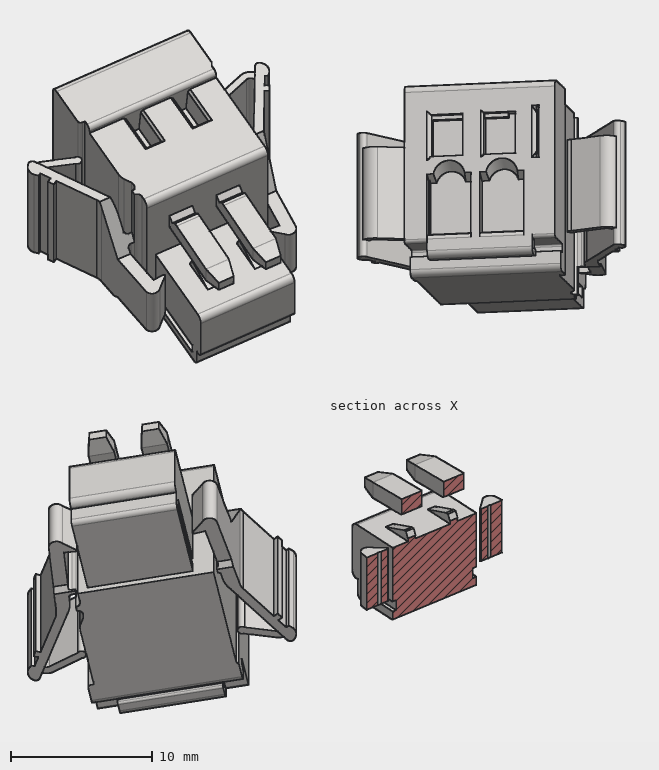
import cadquery as cq
import math

PITCH = 3.81
OVERALL_LENGTH = 18.6
OVERALL_HEIGHT = 13.4
EDGE_RADIUS = 0.5
SMALL_RADIUS = 0.15

HEAD_HALF_WIDTH = 5.44
HEAD_END = 3.83
HEAD_EASE = 0.25
HEAD_TOP_END = 4.5
HEAD_TOP_RADIUS = 0.38
HEAD_BOTTOM_RADIUS = 0.25
BODY_END = 12.0
BODY_TOP = 12.77
BODY_BACK_Y = 5.29
BODY_FRONT_Y = -4.98
WAIST_START = 8.71
WAIST_Y = -4.5

CHANNEL_ROOF = 2.0
CHANNEL_FLOOR = 1.39
CHANNEL_END = 2.6
FOOT_START = 1.98
LIP_THICKNESS = 0.74
LIP_HOOK_END = 1.21
LIP_BOTTOM = 0.9

NOSE_HALF_WIDTH = 3.8
NOSE_TOP = 6.475
NOSE_BOTTOM = 0.5
NOSE_LOWER_END = 17.97
NOSE_CORNER = 0.35
GROOVE_BOTTOM = 1.21
GROOVE_END = 17.3
GROOVE_DEPTH = 0.3
OVERLAP = 1.0

PIN_Y = 2.06
ENTRY_Y = 2.21
WINDOW_Y = 2.38
PIN_WIDTH = 1.86
PIN_TIP_WIDTH = 1.21
PIN_TAPER_START = 17.29
PIN_NOTCH_X = 12.42
PIN_NOTCH_Z = 9.86
PIN_CREST_START = 12.8
PIN_CREST_END = 13.03
PIN_CREST_Z = 10.24
PIN_ROOT_BOTTOM = 8.96
PIN_TAPER_TOP = 10.05
PIN_TAPER_BOTTOM = 8.75
PIN_TIP_TOP = 9.70
PIN_TIP_BOTTOM = 8.90
TOOTH_WIDTH = 0.7
TOOTH_START = 13.9
TOOTH_CREST_START = 14.24
TOOTH_CREST_END = 14.46
TOOTH_END = 16.55
TOOTH_TOP = 7.19

POCKET_DEPTH = 0.8
ENTRY_WIDTH = 3.18
ENTRY_BOTTOM = 2.24
ENTRY_TOP = 6.91
SILL_RADIUS = 0.32
SILL_RISE = 0.14
JAMB_STEPS = (0.09, 0)
JAMB_STEP_DEPTH = 0.53
ENTRY_DROP = 0.5
ARCH_RADIUS = 1.15
ARCH_CENTRE_Z = 6.69
ARCH_END_RADIUS = 1.1
ARCH_END_CENTRE_Z = 6.09
WINDOW_WIDTH = 2.3
WINDOW_BOTTOM = 8.17
WINDOW_TOP = 11.19
WINDOW_BEVELS = (0.27, 0.18)
LEDGE_HEIGHT = 0.3
LEDGE_WIDTHS = (WINDOW_WIDTH, 1.7)
SLOT_BACK_Y = -3.78
SLOT_WIDTH = 0.5
SLOT_BEVEL = 0.3
SLOT_BOTTOM = 7.8
SLOT_TOP = 11.57
SLOT_HIP = 0.5

TOP_POCKET_END = 7.69
TOP_POCKET_WIDTH = 1.57
TOP_POCKET_DEPTH = 2.0
TOP_POCKET_BEVEL = 0.19
TOP_POCKET_DRAFT = 0.14

CLIP_BOTTOM = 2.0
CLIP_TOP = 10.95
CLIP_TAIL_BOTTOM = 2.3
CLIP_TAIL_TOP = 6.66
CLIP_SLOPE_START = 8.99
CLIP_STEP_START = 10.76
CLIP_TAIL_START = 11.2
CLIP_BACK_DROP = 0.1
BEND = (8.93, 6.65)
LEVER_ANGLE = 30
LEVER_THICKNESS = 0.70
RIB_START = 3.54
RIB_END = 4.02
RIB_HEIGHT = 0.36
GRIP_START = 4.86
GRIP_END = 6.06
GRIP_STEP = 0.24
GRIP_HEIGHT = 0.33
TAIL_ANGLE = 5.7
TAIL_THICKNESS = 1.03
HOOK_START = 5.24
HOOK_END = 6.28
HOOK_REACH = 1.97
NECK_START = 10.49
NECK_END = 10.86
NECK_RADIUS = 0.38
NECK_FLARE_Y = 5.55
NECK_STUB_Y = WAIST_Y - NECK_RADIUS
SPRING_BALL = (4.18, 5.79)
SPRING_BALL_RADIUS = 0.32
SPRING_LEAN = 20
SPRING_THICKNESS = 0.57
SPRING_LENGTH = 2.5
SPRING_BEND_RADIUS = 0.38
SPRING_RUN_OUT = 0.4
SPRING_BOTTOM = 3.2
SPRING_TOP = 9.8


def box(x0, x1, y0, y1, z0, z1):
    """Axis-aligned box between the given limits."""
    return cq.Workplane("XY").box(x1 - x0, y1 - y0, z1 - z0, centered=False).translate((x0, y0, z0))


def side_prism(points, y0, y1):
    """Prism with an XZ outline, filling y0 to y1."""
    return cq.Workplane("XZ", origin=(0, y1, 0)).polyline(points).close().extrude(y1 - y0)


def plan_plane(origin, direction, z):
    """Horizontal workplane with its first axis along the given XY direction."""
    return cq.Workplane(cq.Plane((*origin, z), (*direction, 0), (0, 0, 1)))


def pole_positions(first_y):
    return [first_y, first_y - PITCH]


def arc_middle(centre, radius, angle):
    """Point on a circle at the given angle in degrees."""
    turn = math.radians(angle)
    return (centre[0] + radius * math.cos(turn), centre[1] + radius * math.sin(turn))


def housing_plan():
    """Housing footprint, with a waist and a stub for the clip neck on the -Y side."""
    rear_middle = arc_middle((NECK_START - NECK_RADIUS, NECK_STUB_Y), NECK_RADIUS, 45)
    front_middle = arc_middle((NECK_END + NECK_RADIUS, NECK_STUB_Y), NECK_RADIUS, 135)
    ease_start = HEAD_END - HEAD_EASE
    ease_middle = arc_middle((ease_start, HEAD_EASE - HEAD_HALF_WIDTH), HEAD_EASE, -45)
    return (
        cq.Workplane("XY")
        .moveTo(0, HEAD_HALF_WIDTH)
        .lineTo(0, -HEAD_HALF_WIDTH)
        .lineTo(ease_start, -HEAD_HALF_WIDTH)
        .threePointArc(ease_middle, (HEAD_END, HEAD_EASE - HEAD_HALF_WIDTH))
        .lineTo(HEAD_END, BODY_FRONT_Y)
        .lineTo(WAIST_START, BODY_FRONT_Y)
        .threePointArc((WAIST_START + 0.29, BODY_FRONT_Y + 0.03), (WAIST_START + 0.55, BODY_FRONT_Y + 0.12))
        .lineTo(WAIST_START + 1.09, WAIST_Y - 0.05)
        .threePointArc((WAIST_START + 1.24, WAIST_Y - 0.01), (NECK_START - NECK_RADIUS, WAIST_Y))
        .threePointArc(rear_middle, (NECK_START, NECK_STUB_Y))
        .lineTo(NECK_END, NECK_STUB_Y)
        .threePointArc(front_middle, (NECK_END + NECK_RADIUS, WAIST_Y))
        .lineTo(BODY_END, WAIST_Y)
        .lineTo(BODY_END, BODY_BACK_Y)
        .lineTo(HEAD_END, BODY_BACK_Y)
        .lineTo(ease_start, HEAD_HALF_WIDTH)
        .close()
        .extrude(OVERALL_HEIGHT)
    )


def housing():
    profile = side_prism(
        [
            (0, CHANNEL_ROOF),
            (CHANNEL_END, CHANNEL_ROOF),
            (CHANNEL_END, CHANNEL_FLOOR),
            (FOOT_START, CHANNEL_FLOOR),
            (FOOT_START, 0),
            (BODY_END, 0),
            (BODY_END, BODY_TOP),
            (HEAD_TOP_END, BODY_TOP),
            (HEAD_TOP_END, OVERALL_HEIGHT),
            (0, OVERALL_HEIGHT),
        ],
        -HEAD_HALF_WIDTH,
        HEAD_HALF_WIDTH,
    )

    def edge_at(x, z):
        return cq.selectors.NearestToPointSelector((x, 0, z))

    large_edges = [(0, OVERALL_HEIGHT), (BODY_END, BODY_TOP), (FOOT_START, 0)]
    small_edges = [(CHANNEL_END, CHANNEL_ROOF), (CHANNEL_END, CHANNEL_FLOOR)]
    for x, z in large_edges:
        profile = profile.edges(edge_at(x, z)).fillet(EDGE_RADIUS)
    for x, z in small_edges:
        profile = profile.edges(edge_at(x, z)).fillet(SMALL_RADIUS)
    profile = profile.edges(edge_at(HEAD_TOP_END, OVERALL_HEIGHT)).fillet(HEAD_TOP_RADIUS)
    profile = profile.edges(edge_at(0, CHANNEL_ROOF)).fillet(HEAD_BOTTOM_RADIUS)
    return housing_plan().intersect(profile)


def lip():
    """Hooked lip hanging in front of the channel."""
    shape = side_prism(
        [
            (0, CHANNEL_ROOF + OVERLAP),
            (0, LIP_BOTTOM),
            (LIP_HOOK_END, LIP_BOTTOM),
            (LIP_HOOK_END, CHANNEL_FLOOR),
            (LIP_THICKNESS, CHANNEL_FLOOR),
            (LIP_THICKNESS, CHANNEL_ROOF + OVERLAP),
        ],
        -NOSE_HALF_WIDTH,
        NOSE_HALF_WIDTH,
    )
    shape = shape.edges("|Y and <X and <Z").fillet(EDGE_RADIUS)
    return shape.edges("|Y and >X").fillet(SMALL_RADIUS)


def nose():
    """Plug nose with a groove in each side."""
    upper = box(BODY_END - OVERLAP, OVERALL_LENGTH, -NOSE_HALF_WIDTH, NOSE_HALF_WIDTH, CHANNEL_ROOF, NOSE_TOP)
    upper = upper.edges("|Y and >X").fillet(EDGE_RADIUS)
    lower = box(
        BODY_END - OVERLAP, NOSE_LOWER_END, -NOSE_HALF_WIDTH, NOSE_HALF_WIDTH, NOSE_BOTTOM, NOSE_TOP - OVERLAP
    )
    lower = lower.edges("|Y and >X and <Z").fillet(NOSE_CORNER)
    shape = upper.union(lower)
    groove_floor = NOSE_HALF_WIDTH - GROOVE_DEPTH
    groove = box(BODY_END, GROOVE_END, groove_floor, NOSE_HALF_WIDTH, GROOVE_BOTTOM, CHANNEL_ROOF)
    return shape.cut(groove).cut(groove.mirror("XZ"))


def pin(y):
    """Contact pin with a notched root and a tapered tip."""
    profile = side_prism(
        [
            (BODY_END - OVERLAP, PIN_CREST_Z),
            (BODY_END, PIN_CREST_Z),
            (PIN_NOTCH_X, PIN_NOTCH_Z),
            (PIN_CREST_START, PIN_CREST_Z),
            (PIN_CREST_END, PIN_CREST_Z),
            (PIN_TAPER_START, PIN_TAPER_TOP),
            (OVERALL_LENGTH, PIN_TIP_TOP),
            (OVERALL_LENGTH, PIN_TIP_BOTTOM),
            (PIN_TAPER_START, PIN_TAPER_BOTTOM),
            (BODY_END, PIN_ROOT_BOTTOM),
            (BODY_END - OVERLAP, PIN_ROOT_BOTTOM),
        ],
        y - PIN_WIDTH / 2,
        y + PIN_WIDTH / 2,
    )
    plan = (
        cq.Workplane("XY")
        .moveTo(BODY_END - OVERLAP, y - PIN_WIDTH / 2)
        .lineTo(PIN_TAPER_START, y - PIN_WIDTH / 2)
        .lineTo(OVERALL_LENGTH, y - PIN_TIP_WIDTH / 2)
        .lineTo(OVERALL_LENGTH, y + PIN_TIP_WIDTH / 2)
        .lineTo(PIN_TAPER_START, y + PIN_WIDTH / 2)
        .lineTo(BODY_END - OVERLAP, y + PIN_WIDTH / 2)
        .close()
        .extrude(OVERALL_HEIGHT)
    )
    return profile.intersect(plan)


def latch_tooth(y):
    """Ramped tooth on the nose, under a pin."""
    return side_prism(
        [
            (TOOTH_START, NOSE_TOP - OVERLAP),
            (TOOTH_START, NOSE_TOP),
            (TOOTH_CREST_START, TOOTH_TOP),
            (TOOTH_CREST_END, TOOTH_TOP),
            (TOOTH_END, NOSE_TOP),
            (TOOTH_END, NOSE_TOP - OVERLAP),
        ],
        y - TOOTH_WIDTH / 2,
        y + TOOTH_WIDTH / 2,
    )


def wire_entry(y, jamb_step):
    """Arched wire entry: the roof falls inwards, the sill is rounded, the +Y jamb may step in."""
    tunnel = cq.Solid.makeLoft(
        [
            cq.Wire.makeCircle(ARCH_RADIUS, cq.Vector(0, y, ARCH_CENTRE_Z), cq.Vector(1, 0, 0)),
            cq.Wire.makeCircle(
                ARCH_END_RADIUS, cq.Vector(POCKET_DEPTH, y, ARCH_END_CENTRE_Z), cq.Vector(1, 0, 0)
            ),
        ],
        True,
    )
    jamb = y + ENTRY_WIDTH / 2
    sill_top = ENTRY_BOTTOM + SILL_RADIUS
    sill_middle = arc_middle((SILL_RADIUS, ENTRY_BOTTOM), SILL_RADIUS, 135)
    mouth = (
        cq.Workplane("XZ", origin=(0, jamb, 0))
        .moveTo(0, ENTRY_BOTTOM)
        .threePointArc(sill_middle, (SILL_RADIUS, sill_top))
        .lineTo(POCKET_DEPTH, sill_top + SILL_RISE)
        .lineTo(POCKET_DEPTH, ENTRY_TOP - ENTRY_DROP)
        .lineTo(0, ENTRY_TOP)
        .close()
        .extrude(ENTRY_WIDTH)
    )
    if jamb_step > 0:
        mouth = mouth.cut(box(JAMB_STEP_DEPTH, POCKET_DEPTH, jamb - jamb_step, jamb, ENTRY_BOTTOM, ENTRY_TOP))
    return mouth.union(cq.Workplane(tunnel))


def bevel_wedge(y, bevel, bottom, top, spread):
    """Wedge opening the jamb at y towards +Y; its front is taller by the spread at both ends."""
    plan = (
        cq.Workplane("XY", origin=(0, 0, bottom - spread))
        .polyline([(0, y), (0, y + bevel), (bevel, y)])
        .close()
        .extrude(top - bottom + 2 * spread)
    )
    front = (
        cq.Workplane("YZ")
        .polyline([(y, bottom), (y, top), (y + bevel, top + spread), (y + bevel, bottom - spread)])
        .close()
        .extrude(bevel)
    )
    return plan.intersect(front)


def release_window(y, bevel, ledge_width):
    """Square pocket with one bevelled jamb and a ledge under the top of its floor."""
    jamb = y + WINDOW_WIDTH / 2
    pocket = box(0, POCKET_DEPTH, y - WINDOW_WIDTH / 2, jamb, WINDOW_BOTTOM, WINDOW_TOP)
    ledge = box(
        POCKET_DEPTH / 2, POCKET_DEPTH, jamb - ledge_width, jamb, WINDOW_TOP - LEDGE_HEIGHT, WINDOW_TOP
    )
    return pocket.cut(ledge).union(bevel_wedge(jamb, bevel, WINDOW_BOTTOM, WINDOW_TOP, bevel))


def coding_slot():
    """Narrow slot whose bevelled jamb has sloped ends."""
    jamb = SLOT_BACK_Y - SLOT_BEVEL
    pocket = box(0, POCKET_DEPTH, SLOT_BACK_Y - SLOT_WIDTH, jamb, SLOT_BOTTOM, SLOT_TOP)
    hipped_ends = side_prism(
        [
            (0, SLOT_BOTTOM),
            (SLOT_BEVEL, SLOT_BOTTOM + SLOT_HIP),
            (SLOT_BEVEL, SLOT_TOP - SLOT_HIP),
            (0, SLOT_TOP),
        ],
        jamb,
        SLOT_BACK_Y,
    )
    bevel = bevel_wedge(jamb, SLOT_BEVEL, SLOT_BOTTOM, SLOT_TOP, 0)
    return pocket.union(bevel.intersect(hipped_ends))


def top_pocket(y):
    """Opening in the top face beside the head, bevelled on three sides."""
    x_middle = (HEAD_TOP_END + TOP_POCKET_END) / 2
    length = TOP_POCKET_END - HEAD_TOP_END
    inner_width = TOP_POCKET_WIDTH - 2 * TOP_POCKET_BEVEL
    inner_end = TOP_POCKET_END - TOP_POCKET_BEVEL
    floor_z = BODY_TOP - TOP_POCKET_DEPTH
    well = (
        cq.Workplane("YZ", origin=(HEAD_TOP_END, 0, 0))
        .polyline(
            [
                (y - inner_width / 2, floor_z),
                (y + inner_width / 2 - TOP_POCKET_DRAFT, floor_z),
                (y + inner_width / 2, BODY_TOP - TOP_POCKET_BEVEL),
                (y - inner_width / 2, BODY_TOP - TOP_POCKET_BEVEL),
            ]
        )
        .close()
        .extrude(inner_end - HEAD_TOP_END)
    )
    bevel = (
        cq.Workplane("XY", origin=(x_middle, y, BODY_TOP))
        .rect(length, TOP_POCKET_WIDTH)
        .workplane(offset=-TOP_POCKET_BEVEL)
        .center(-TOP_POCKET_BEVEL / 2, 0)
        .rect(length - TOP_POCKET_BEVEL, inner_width)
        .loft(ruled=True)
    )
    return well.union(bevel)


def clip_lever():
    """Finger lever: runs from the bend out to a rounded grip, with a rib on its outside."""
    turn = math.radians(LEVER_ANGLE)
    direction = (-math.cos(turn), math.sin(turn))
    return (
        plan_plane(BEND, direction, 0)
        .moveTo(0, 0)
        .lineTo(RIB_START, 0)
        .lineTo(RIB_START, -RIB_HEIGHT)
        .lineTo(RIB_END, -RIB_HEIGHT)
        .lineTo(RIB_END, 0)
        .lineTo(GRIP_START, 0)
        .lineTo(GRIP_START, -GRIP_STEP)
        .lineTo(GRIP_START + 0.36, -GRIP_HEIGHT)
        .threePointArc((GRIP_END - 0.31, -GRIP_HEIGHT / 2), (GRIP_END - 0.02, LEVER_THICKNESS - 0.42))
        .threePointArc((GRIP_END - 0.03, LEVER_THICKNESS - 0.18), (GRIP_END - 0.31, LEVER_THICKNESS))
        .lineTo(-0.27, LEVER_THICKNESS)
        .lineTo(-LEVER_THICKNESS, LEVER_THICKNESS / 2)
        .close()
        .extrude(OVERALL_HEIGHT)
    )


def clip_tail():
    """Locking tail: runs from the bend to a hook beside the nose."""
    turn = math.radians(TAIL_ANGLE)
    return (
        plan_plane(BEND, (math.cos(turn), -math.sin(turn)), 0)
        .moveTo(-0.21, 0.095)
        .threePointArc((0, 0.025), (0.23, 0))
        .lineTo(HOOK_START + 0.56, 0)
        .threePointArc((HOOK_END, -0.45), (HOOK_END - 0.18, 0.04 - TAIL_THICKNESS))
        .lineTo(HOOK_START + 0.13, -HOOK_REACH)
        .lineTo(HOOK_START + 0.02, 0.09 - HOOK_REACH)
        .lineTo(HOOK_START, -TAIL_THICKNESS)
        .lineTo(0.86, -TAIL_THICKNESS)
        .threePointArc((0.4, -0.94), (-0.05, -0.75))
        .close()
        .extrude(OVERALL_HEIGHT)
    )


def clip_neck():
    """Flexible neck between body and clip, flared where it meets the clip."""
    start_y = NECK_FLARE_Y - NECK_RADIUS
    rear_middle = arc_middle((NECK_START - NECK_RADIUS, start_y), NECK_RADIUS, 45)
    front_middle = arc_middle((NECK_END + NECK_RADIUS, start_y), NECK_RADIUS, 135)
    return (
        cq.Workplane("XY")
        .moveTo(NECK_START, -WAIST_Y)
        .lineTo(NECK_START, start_y)
        .threePointArc(rear_middle, (NECK_START - NECK_RADIUS, NECK_FLARE_Y))
        .lineTo(NECK_END + NECK_RADIUS, NECK_FLARE_Y)
        .threePointArc(front_middle, (NECK_END, start_y))
        .lineTo(NECK_END, -WAIST_Y)
        .close()
        .extrude(OVERALL_HEIGHT)
    )


def clip_spring():
    """Spring leaf: a ball end, a straight leaf and a quarter bend into the grip."""
    lean = math.radians(SPRING_LEAN)
    half = SPRING_THICKNESS / 2
    outer_radius = SPRING_BEND_RADIUS + SPRING_THICKNESS
    centre = (SPRING_LENGTH, -half - SPRING_BEND_RADIUS)
    inner_end = (centre[0] + SPRING_BEND_RADIUS, centre[1])
    outer_end = (centre[0] + outer_radius, centre[1])
    plane = plan_plane(SPRING_BALL, (-math.sin(lean), math.cos(lean)), SPRING_BOTTOM)
    height = SPRING_TOP - SPRING_BOTTOM
    leaf = (
        plane.moveTo(0, half)
        .lineTo(SPRING_LENGTH, half)
        .threePointArc(arc_middle(centre, outer_radius, 45), outer_end)
        .lineTo(outer_end[0], outer_end[1] - SPRING_RUN_OUT)
        .lineTo(inner_end[0], inner_end[1] - SPRING_RUN_OUT)
        .lineTo(*inner_end)
        .threePointArc(arc_middle(centre, SPRING_BEND_RADIUS, 45), (SPRING_LENGTH, -half))
        .lineTo(0, -half)
        .close()
        .extrude(height)
    )
    return leaf.union(plane.circle(SPRING_BALL_RADIUS).extrude(height))


def clip():
    """Complete +Y clip; it is tall at the lever and low at the tail."""
    heights = side_prism(
        [
            (0, CLIP_BOTTOM),
            (CLIP_STEP_START, CLIP_BOTTOM),
            (CLIP_TAIL_START, CLIP_TAIL_BOTTOM),
            (OVERALL_LENGTH, CLIP_TAIL_BOTTOM),
            (OVERALL_LENGTH, CLIP_TAIL_TOP),
            (CLIP_TAIL_START, CLIP_TAIL_TOP),
            (CLIP_SLOPE_START, CLIP_TOP),
            (0, CLIP_TOP),
        ],
        0,
        2 * BEND[1],
    )
    arms = clip_lever().union(clip_tail()).union(clip_neck()).intersect(heights)
    return arms.union(clip_spring())


part = housing().union(lip()).union(nose())
for pin_y in pole_positions(PIN_Y):
    part = part.union(pin(pin_y)).union(latch_tooth(pin_y))

for entry_y, entry_step in zip(pole_positions(ENTRY_Y), JAMB_STEPS):
    part = part.cut(wire_entry(entry_y, entry_step))
for window_y, window_bevel, window_ledge in zip(pole_positions(WINDOW_Y), WINDOW_BEVELS, LEDGE_WIDTHS):
    part = part.cut(release_window(window_y, window_bevel, window_ledge))
    part = part.cut(top_pocket(window_y))
part = part.cut(coding_slot())

back_clip = clip()
result = part.union(back_clip.mirror("XZ")).union(back_clip.translate((0, 0, -CLIP_BACK_DROP)))